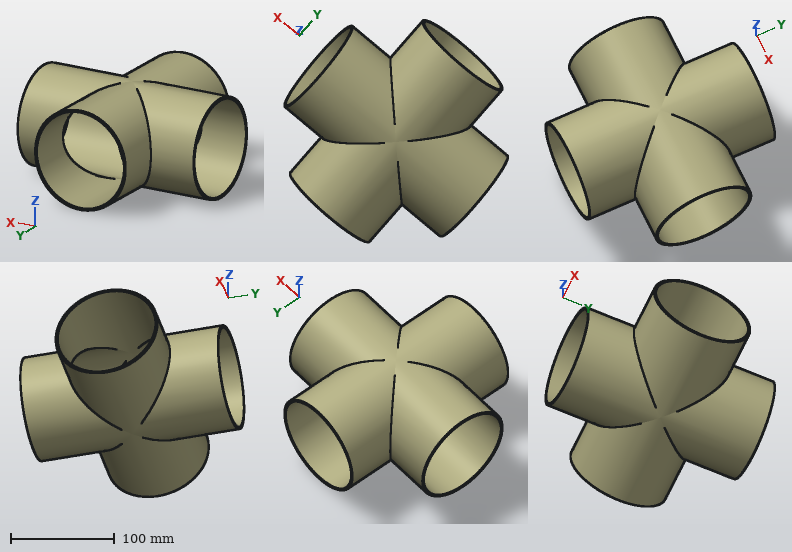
import cadquery as cq

length = 196.8
outer_diameter = 101.5
inner_diameter = 97.5


def crossed_cylinders(diameter):
    """Two full-length cylinders along X and Y, joined at the origin."""
    radius = diameter / 2
    along_x = cq.Workplane("YZ").circle(radius).extrude(length / 2, both=True)
    along_y = cq.Workplane("XZ").circle(radius).extrude(length / 2, both=True)
    return along_x.union(along_y)


result = crossed_cylinders(outer_diameter).cut(crossed_cylinders(inner_diameter))